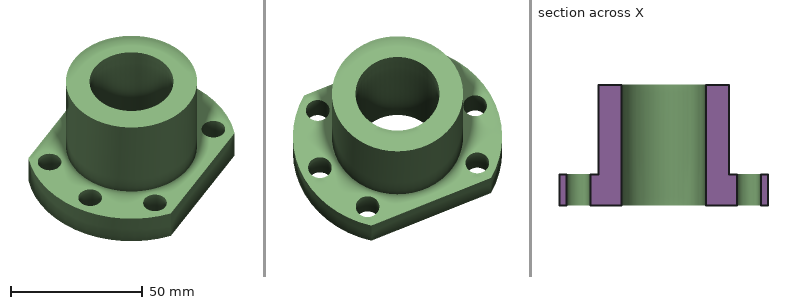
import cadquery as cq

flange_diameter = 79.75
flange_width = 62.0
flange_thickness = 12.0

body_diameter = 50.0
bore_diameter = 32.0
total_height = 46.0

hole_diameter = 9.0
bolt_circle_radius = 64.9 / 2
hole_spacing_angle = 45
holes_per_end = 3
end_directions = (90, 270)


def make_flange():
    disc = cq.Workplane("XY").circle(flange_diameter / 2).extrude(flange_thickness)
    flats = cq.Workplane("XY").rect(flange_width, flange_diameter).extrude(flange_thickness)
    return disc.intersect(flats)


def make_body():
    return cq.Workplane("XY").circle(body_diameter / 2).extrude(total_height)


def make_bore():
    return cq.Workplane("XY").circle(bore_diameter / 2).extrude(total_height)


def make_end_holes(direction):
    """Through holes spread evenly about one end of the flange."""
    spread = hole_spacing_angle * (holes_per_end - 1)
    return (
        cq.Workplane("XY")
        .polarArray(bolt_circle_radius, direction - spread / 2, spread, holes_per_end)
        .circle(hole_diameter / 2)
        .extrude(flange_thickness)
    )


result = make_flange().union(make_body()).cut(make_bore())
for end_direction in end_directions:
    result = result.cut(make_end_holes(end_direction))